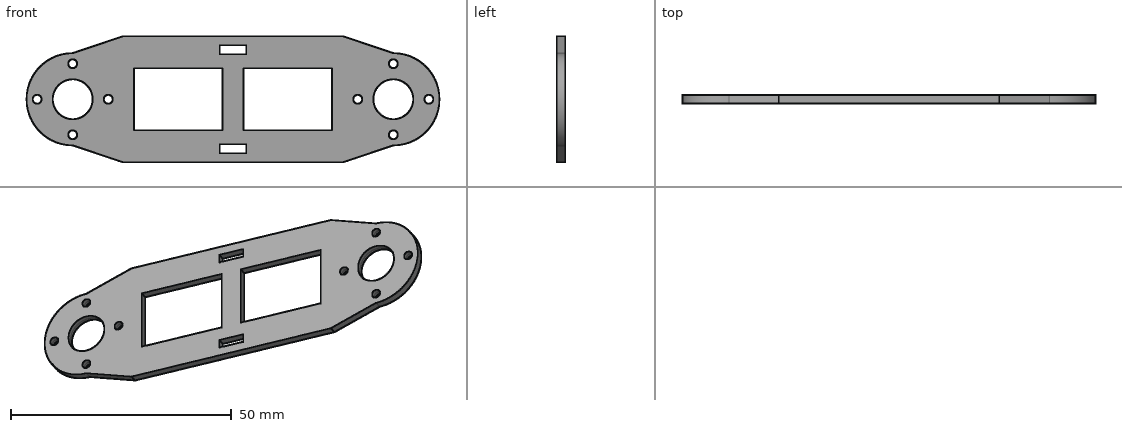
import cadquery as cq

length = 93.5
height = 28.5
thickness = 2.0
flat_edge_length = 49.9
end_radius = 10.5
end_center_x = length / 2 - end_radius

bore_diameter = 9.0
screw_hole_diameter = 2.0
screw_circle_radius = 8.0
screws_per_end = 4

window_width = 20.0
window_height = 14.0
window_gap = 4.8
slot_width = 6.0
slot_height = 2.0
slot_center_z = 11.2


def plate():
    """Plate with tapered shoulders and round ends, centered on the origin."""
    half_flat = flat_edge_length / 2
    half_height = height / 2
    return (
        cq.Workplane("XZ")
        .moveTo(-half_flat, half_height)
        .lineTo(half_flat, half_height)
        .lineTo(end_center_x, end_radius)
        .threePointArc((length / 2, 0), (end_center_x, -end_radius))
        .lineTo(half_flat, -half_height)
        .lineTo(-half_flat, -half_height)
        .lineTo(-end_center_x, -end_radius)
        .threePointArc((-length / 2, 0), (-end_center_x, end_radius))
        .close()
        .extrude(thickness / 2, both=True)
    )


def through_cutters(sketch):
    """Turn the closed outlines of a sketch into cutters through the plate."""
    return sketch.extrude(thickness, both=True)


def end_holes(center_x):
    """Bore surrounded by a circle of screw holes."""
    end = cq.Workplane("XZ").center(center_x, 0)
    bore = through_cutters(end.circle(bore_diameter / 2))
    screw_holes = through_cutters(
        end.polarArray(screw_circle_radius, 0, 360, screws_per_end).circle(screw_hole_diameter / 2)
    )
    return bore.union(screw_holes)


def windows():
    """Two large windows side by side."""
    offset = (window_width + window_gap) / 2
    sketch = cq.Workplane("XZ").pushPoints([(-offset, 0), (offset, 0)])
    return through_cutters(sketch.rect(window_width, window_height))


def slots():
    """Small slots near the upper and lower edges."""
    sketch = cq.Workplane("XZ").pushPoints([(0, -slot_center_z), (0, slot_center_z)])
    return through_cutters(sketch.rect(slot_width, slot_height))


result = plate().cut(windows()).cut(slots())
for side in (-1, 1):
    result = result.cut(end_holes(side * end_center_x))